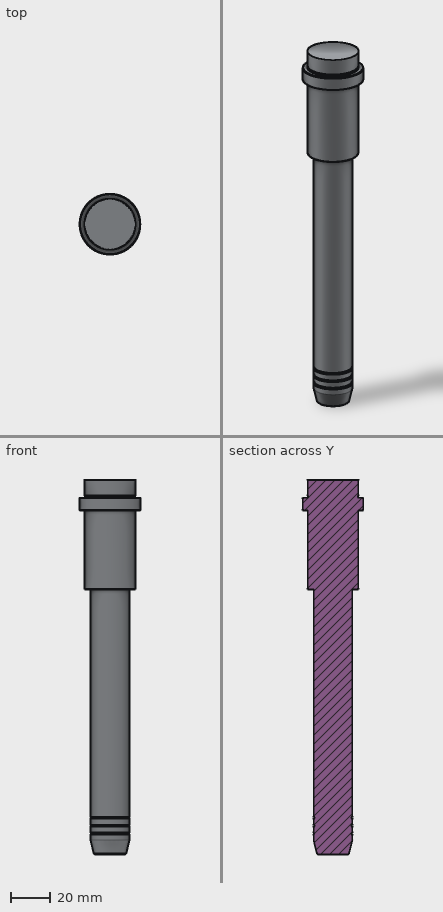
import cadquery as cq

length = 190.0
flange_diameter = 31.0
body_diameter = 26.0
shaft_diameter = 20.0
tip_diameter = 16.3

body_bottom = 134.3
flange_bottom = 174.5
flange_top = 181.0
taper_height = 7.5

flange_chamfer = 0.4
body_chamfer = 0.5
tip_chamfer = 0.5

shaft_groove_depth = 0.5
shaft_groove_width = 1.1
lowest_groove_height = 10.6
groove_pitch = 4.0
groove_count = 3
relief_depth = 0.4
relief_width = 1.1


def cylinder(diameter, bottom, top):
    """Round section of the pin between two heights."""
    return cq.Workplane("XY").workplane(offset=bottom).circle(diameter / 2).extrude(top - bottom)


def v_groove(diameter, center_height, width, depth):
    """Triangular ring that cuts a V groove into a cylinder."""
    radius = diameter / 2
    return (
        cq.Workplane("XZ")
        .moveTo(radius, center_height - width / 2)
        .lineTo(radius - depth, center_height)
        .lineTo(radius, center_height + width / 2)
        .close()
        .revolve(360, (0, 0, 0), (0, 1, 0))
    )


shaft = cylinder(shaft_diameter, taper_height, body_bottom)
lead_in = (
    cq.Workplane("XY")
    .circle(tip_diameter / 2)
    .workplane(offset=taper_height)
    .circle(shaft_diameter / 2)
    .loft()
    .faces("<Z")
    .chamfer(tip_chamfer)
)

body = cylinder(body_diameter, body_bottom, length).faces("<Z").chamfer(body_chamfer)
flange = cylinder(flange_diameter, flange_bottom, flange_top).edges().chamfer(flange_chamfer)

result = shaft.union(lead_in).union(body).union(flange)

for index in range(groove_count):
    groove_height = lowest_groove_height + index * groove_pitch
    result = result.cut(v_groove(shaft_diameter, groove_height, shaft_groove_width, shaft_groove_depth))

relief_height = flange_top + relief_width / 2
result = result.cut(v_groove(body_diameter, relief_height, relief_width, relief_depth))